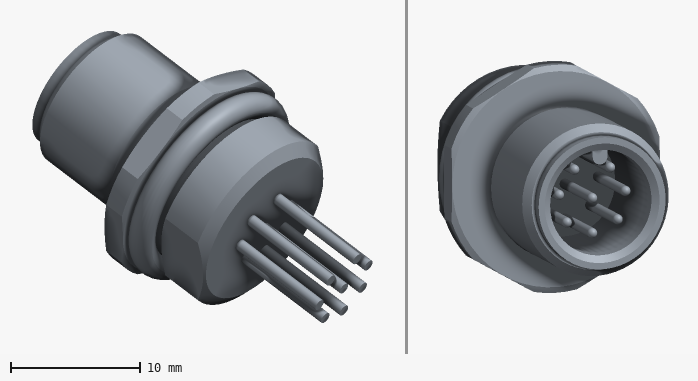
import cadquery as cq
import math


nose_end = 1.0
sleeve_start = 1.6
flange_front = 11.0
flange_rear = 13.0
nut_front = 15.27
nut_rear = 20.0
overall_length = 28.6

nose_radius = 10.4 / 2
lead_in_radius = 10.85 / 2
sleeve_radius = 12.0 / 2
relief_radius = 10.4 / 2
relief_fillet = 0.6
relief_flat = 0.55
relief_flank_angle = 60.0

flange_across_flats = 17.02
flange_corner_radius = 17.96 / 2
flange_face_radius = 17.0 / 2
flange_front_bevel = 0.19
flange_rear_bevel = 0.13

hub_radius = 13.0 / 2
seal_outer_radius = 17.0 / 2
seal_section_radius = 2.1 / 2
seal_center = flange_rear + 1.03

nut_radius = 15.14 / 2
nut_across_flats = 13.36
nut_front_bevel = 0.53
nut_rear_bevel = 0.69
nut_rear_face_radius = 13.0 / 2

socket_mouth_radius = 9.4 / 2
socket_radius = 8.3 / 2
socket_mouth_bevel = 0.32
socket_depth = 9.0
key_width = 1.2
key_front = 0.5
key_inner_reach = 2.97
pin_radius = 0.8 / 2
pin_tip = 2.0
tail_radius = 0.93 / 2
contact_circle_radius = 5.5 / 2
contact_count_on_circle = 7
contact_pitch_angle = 49.25


def make_body():
    """Revolve the nose, sleeve, relief groove and hub; the hub ends inside the rear body."""
    flank = math.radians(relief_flank_angle)
    fillet_center_radius = relief_radius + relief_fillet
    hub_end = (nut_front + nut_rear) / 2
    rear_fillet_start = flange_front - relief_fillet
    front_fillet_end = rear_fillet_start - relief_flat

    def front_fillet_point(angle):
        return (
            front_fillet_end - relief_fillet * math.sin(angle),
            fillet_center_radius - relief_fillet * math.cos(angle),
        )

    flank_foot = front_fillet_point(flank)
    sleeve_end = flank_foot[0] - (sleeve_radius - flank_foot[1]) / math.tan(flank)
    diagonal = relief_fillet * math.sqrt(0.5)
    rear_fillet_middle = (rear_fillet_start + diagonal, fillet_center_radius - diagonal)

    profile = (
        cq.Workplane("XY")
        .moveTo(0, 0)
        .lineTo(0, nose_radius)
        .lineTo(nose_end, nose_radius)
        .lineTo(nose_end, lead_in_radius)
        .lineTo(sleeve_start, sleeve_radius)
        .lineTo(sleeve_end, sleeve_radius)
        .lineTo(*flank_foot)
        .threePointArc(front_fillet_point(flank / 2), (front_fillet_end, relief_radius))
        .lineTo(rear_fillet_start, relief_radius)
        .threePointArc(rear_fillet_middle, (flange_front, fillet_center_radius))
        .lineTo(flange_front, hub_radius)
        .lineTo(hub_end, hub_radius)
        .lineTo(hub_end, 0)
        .close()
    )
    return profile.revolve(360, (0, 0, 0), (1, 0, 0))


def bevelled_disc(front, rear, radius, front_bevel, front_face_radius, rear_bevel, rear_face_radius):
    """Revolve a disc whose rim is bevelled down to a smaller radius at each face."""
    profile = (
        cq.Workplane("XY")
        .moveTo(front, 0)
        .lineTo(front, front_face_radius)
        .lineTo(front + front_bevel, radius)
        .lineTo(rear - rear_bevel, radius)
        .lineTo(rear, rear_face_radius)
        .lineTo(rear, 0)
        .close()
    )
    return profile.revolve(360, (0, 0, 0), (1, 0, 0))


def make_flange():
    """Hexagon with its corners rounded off and both faces bevelled."""
    corner_diameter = flange_across_flats / math.cos(math.radians(30))
    hexagon = (
        cq.Workplane("YZ")
        .workplane(offset=flange_front)
        .transformed(rotate=(0, 0, 90))
        .polygon(6, corner_diameter)
        .extrude(flange_rear - flange_front)
    )
    disc = bevelled_disc(
        flange_front, flange_rear, flange_corner_radius,
        flange_front_bevel, flange_face_radius,
        flange_rear_bevel, flange_face_radius,
    )
    return disc.intersect(hexagon)


def make_seal():
    """O-ring seated on the hub against the flange."""
    ring_radius = seal_outer_radius - seal_section_radius
    section = cq.Workplane("XY").center(seal_center, ring_radius).circle(seal_section_radius)
    return section.revolve(360, (0, -ring_radius, 0), (1, -ring_radius, 0))


def make_nut():
    """Bevelled round body with flats on its +Y and -Y sides."""
    disc = bevelled_disc(
        nut_front, nut_rear, nut_radius,
        nut_front_bevel, hub_radius,
        nut_rear_bevel, nut_rear_face_radius,
    )
    slab = (
        cq.Workplane("YZ")
        .workplane(offset=nut_front)
        .rect(nut_across_flats, 2 * nut_radius)
        .extrude(nut_rear - nut_front)
    )
    return disc.intersect(slab)


def make_socket():
    """Round cavity with a bevelled mouth at the mating end."""
    profile = (
        cq.Workplane("XY")
        .moveTo(0, 0)
        .lineTo(0, socket_mouth_radius)
        .lineTo(socket_mouth_bevel, socket_radius)
        .lineTo(socket_depth, socket_radius)
        .lineTo(socket_depth, 0)
        .close()
    )
    return profile.revolve(360, (0, 0, 0), (1, 0, 0))


def make_key():
    """Coding rib on the +Z side of the socket wall, with a rounded inner edge."""
    half_width = key_width / 2
    root = (socket_radius + nose_radius) / 2
    arc_start = key_inner_reach + half_width
    return (
        cq.Workplane("YZ", origin=(key_front, 0, 0))
        .moveTo(-half_width, root)
        .lineTo(-half_width, arc_start)
        .threePointArc((0, key_inner_reach), (half_width, arc_start))
        .lineTo(half_width, root)
        .close()
        .extrude(socket_depth - key_front)
    )


def make_contact(y, z):
    """Contact with a ball-ended pin in the socket and a thicker tail at the rear."""
    ball_center = pin_tip + pin_radius
    ball = cq.Workplane("YZ", origin=(ball_center, y, z)).sphere(pin_radius)
    pin = (
        cq.Workplane("YZ", origin=(ball_center, y, z))
        .circle(pin_radius)
        .extrude(socket_depth - ball_center)
    )
    tail = (
        cq.Workplane("YZ", origin=(nut_rear, y, z))
        .circle(tail_radius)
        .extrude(overall_length - nut_rear)
    )
    return ball.union(pin), tail


def contact_positions():
    """One contact on the axis and the rest on a circle, leaving a wider gap at the key."""
    positions = [(0, 0)]
    middle_index = (contact_count_on_circle - 1) / 2
    for index in range(contact_count_on_circle):
        angle = math.radians(180 + (index - middle_index) * contact_pitch_angle)
        y = contact_circle_radius * math.sin(angle)
        z = contact_circle_radius * math.cos(angle)
        positions.append((y, z))
    return positions


shell = make_body().union(make_flange()).union(make_nut()).union(make_seal())
connector = shell.cut(make_socket()).union(make_key())

for y, z in contact_positions():
    pin, tail = make_contact(y, z)
    connector = connector.union(pin).union(tail)

result = connector